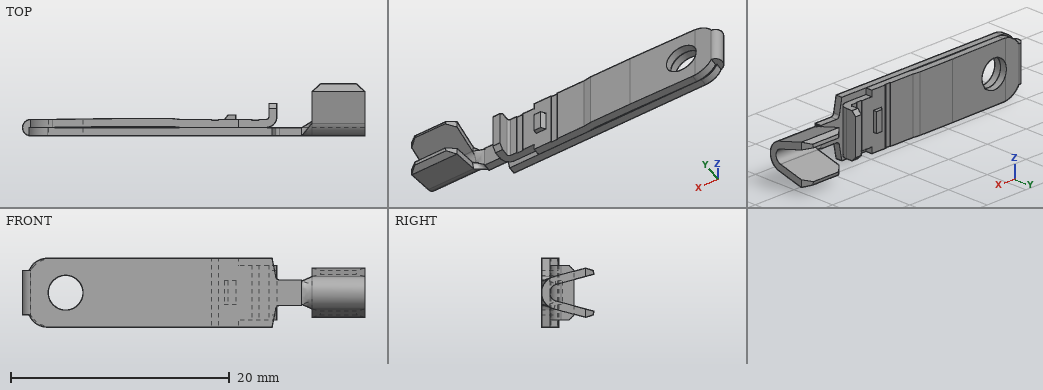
import cadquery as cq
import math


length = 31.35
width = 6.33
depth = 4.8

sheet = 0.75
fold_gap = 0.013
fold_radius = sheet + fold_gap / 2
leaf_inner = sheet + fold_gap
leaf_outer = leaf_inner + sheet
fold_width = 4.07

plate_left = 0.47
plate_corner_radius = 1.82
plate_end = 22.85
shoulder_radius = 0.38
hole_x = 3.95
hole_diameter = 3.15

neck_width = 2.35
neck_start = 23.22
neck_end = 25.55
transition_width = 2.13

leaf_left = 0.38
leaf_corner_radius = 2.38
leaf_narrow_x = 19.75
leaf_narrow_width = 5.0
bow = 0.1
bow_start = 2.5
bow_crest_start = 9.4
bow_crest_end = 13.63
bow_end = 14.42

lip_face = 23.3
lip_height = 2.98
lip_inner_bend = 0.25
lip_outer_bend = lip_inner_bend + sheet
lip_chamfer = 0.47

catch_start = 18.5
catch_ramp = 0.3
catch_end = 19.52
catch_width = 2.2
catch_height = 0.4
groove_width = 0.63
groove_depth = 0.078
groove_starts = (17.3, 21.0)

barrel_start = 26.48
barrel_radius = 1.55
barrel_wall = sheet
inner_radius = barrel_radius - barrel_wall
flare = math.radians(15)
wing_bevel_y = 4.05
wing_tip_outer_y = 4.73
wing_tip_outer_z = 2.05
wing_end_chamfer = 0.8


def extrude_across(outline, full_width):
    """Extrude an X-Y outline symmetrically across Z."""
    return outline.extrude(full_width / 2, both=True)


def extrude_back(outline, start_y, thickness):
    """Extrude an X-Z outline from y = start_y towards +Y."""
    return outline.extrude(-thickness).translate((0, start_y, 0))


def rounded_blank(left, right, corner_radius, start_y, thickness):
    """Full-width blank with rounded left corners, cut back between them for the fold."""
    blank = cq.Workplane("XZ").center((left + right) / 2, 0).rect(right - left, width)
    blank = extrude_back(blank, start_y, thickness).edges("|Y and <X").fillet(corner_radius)
    fold_room = cq.Workplane("XZ").rect(2 * fold_radius, fold_width)
    return blank.cut(extrude_back(fold_room, start_y, thickness))


def make_front_plate():
    """Rounded plate whose far end narrows through filleted shoulders to the neck."""
    half = width / 2
    half_neck = neck_width / 2
    middle = plate_end / 2
    plate = rounded_blank(plate_left, plate_end, plate_corner_radius, 0, sheet)
    shoulder = (
        cq.Workplane("XZ")
        .polyline([
            (middle, half),
            (plate_end, half),
            (neck_start, half_neck),
            (neck_end, half_neck),
            (neck_end, -half_neck),
            (neck_start, -half_neck),
            (plate_end, -half),
            (middle, -half),
        ])
        .close()
    )
    shoulder = extrude_back(shoulder, 0, sheet)
    for sign in (1, -1):
        inner_corner = cq.selectors.NearestToPointSelector((neck_start, sheet / 2, sign * half_neck))
        shoulder = shoulder.edges(inner_corner).fillet(shoulder_radius)
    return plate.union(shoulder)


def make_fold():
    """Half-round bend that joins the front plate to the leaf."""
    fold = cq.Workplane("XY").moveTo(fold_radius, 0)
    fold = fold.threePointArc((0, fold_radius), (fold_radius, 2 * fold_radius))
    fold = fold.lineTo(fold_radius, leaf_inner)
    fold = fold.threePointArc((sheet, fold_radius), (fold_radius, sheet)).close()
    return extrude_across(fold, fold_width)


def make_leaf():
    """Slightly bowed leaf ending in a narrower, upturned lip with chamfered corners."""
    lip_back = lip_face - sheet
    side = (
        cq.Workplane("XY")
        .moveTo(leaf_left, leaf_inner)
        .lineTo(bow_start, leaf_inner)
        .lineTo(bow_crest_start, leaf_inner + bow)
        .lineTo(bow_crest_end, leaf_inner + bow)
        .lineTo(bow_end, leaf_inner)
        .lineTo(lip_face - lip_outer_bend, leaf_inner)
        .radiusArc((lip_face, leaf_inner + lip_outer_bend), -lip_outer_bend)
        .lineTo(lip_face, lip_height)
        .lineTo(lip_back, lip_height)
        .lineTo(lip_back, leaf_outer + lip_inner_bend)
        .radiusArc((lip_back - lip_inner_bend, leaf_outer), lip_inner_bend)
        .lineTo(bow_end, leaf_outer)
        .lineTo(bow_crest_end, leaf_outer + bow)
        .lineTo(bow_crest_start, leaf_outer + bow)
        .lineTo(bow_start, leaf_outer)
        .lineTo(leaf_left, leaf_outer)
        .close()
    )
    profile = extrude_across(side, width)

    wide = rounded_blank(leaf_left, leaf_narrow_x, leaf_corner_radius, 0, depth)
    narrow_left = leaf_narrow_x / 2
    narrow = cq.Workplane("XZ").center((narrow_left + lip_face) / 2, 0)
    narrow = extrude_back(narrow.rect(lip_face - narrow_left, leaf_narrow_width), 0, lip_height)
    narrow = narrow.edges("|X and >Y").chamfer(lip_chamfer)
    leaf = profile.intersect(wide.union(narrow))

    for start in groove_starts:
        groove = cq.Workplane("XY").rect(groove_width, 2 * groove_depth)
        leaf = leaf.cut(extrude_across(groove, width).translate((start + groove_width / 2, leaf_outer, 0)))
    return leaf.union(make_catch())


def make_catch():
    """Ramped block standing on the back of the leaf."""
    side = (
        cq.Workplane("XY")
        .polyline([
            (catch_start, leaf_outer),
            (catch_start + catch_ramp, leaf_outer + catch_height),
            (catch_end, leaf_outer + catch_height),
            (catch_end, leaf_inner),
            (catch_start, leaf_inner),
        ])
        .close()
    )
    return extrude_across(side, catch_width)


def wall_foot(radius):
    """(z, y) where an arc of the barrel meets its flared wall."""
    return radius * math.cos(flare), barrel_radius - radius * math.sin(flare)


def wall_point(radius, y):
    """(z, y) on the flared wall surface that continues an arc of the barrel."""
    foot_z, foot_y = wall_foot(radius)
    return foot_z + (y - foot_y) * math.tan(flare), y


def mirrored(point):
    """The same (z, y) point on the other side of z = 0."""
    return -point[0], point[1]


outer_foot = wall_foot(barrel_radius)
inner_foot = wall_foot(inner_radius)
across = cq.Plane(origin=(0, 0, 0), xDir=(0, 0, 1), normal=(-1, 0, 0))


def make_barrel():
    """Open U-shaped barrel with flared wings and bevelled tips."""
    outer_top = wall_point(barrel_radius, wing_bevel_y)
    outer_tip = (wing_tip_outer_z, wing_tip_outer_y)
    inner_tip = wall_point(inner_radius, depth)
    section = (
        cq.Workplane(across)
        .moveTo(*inner_foot)
        .lineTo(*inner_tip)
        .lineTo(*outer_tip)
        .lineTo(*outer_top)
        .lineTo(*outer_foot)
        .threePointArc((0, 0), mirrored(outer_foot))
        .lineTo(*mirrored(outer_top))
        .lineTo(*mirrored(outer_tip))
        .lineTo(*mirrored(inner_tip))
        .lineTo(*mirrored(inner_foot))
        .threePointArc((0, barrel_wall), inner_foot)
        .close()
    )
    barrel = section.extrude(barrel_start - length).translate((barrel_start, 0, 0))
    side = (
        cq.Workplane("XY")
        .polyline([
            (barrel_start, 0),
            (length, 0),
            (length, wing_bevel_y),
            (length - wing_end_chamfer, depth),
            (barrel_start + wing_end_chamfer, depth),
            (barrel_start, wing_bevel_y),
        ])
        .close()
    )
    return barrel.intersect(extrude_across(side, width))


def make_transition():
    """Blend from the flat neck to the curved floor of the barrel."""
    half_flat = transition_width / 2
    flat = cq.Wire.makePolygon(
        [
            cq.Vector(neck_end, 0, half_flat),
            cq.Vector(neck_end, 0, -half_flat),
            cq.Vector(neck_end, sheet, -half_flat),
            cq.Vector(neck_end, sheet, half_flat),
        ],
        close=True,
    )
    curved = (
        cq.Workplane(across)
        .moveTo(*outer_foot)
        .threePointArc((0, 0), mirrored(outer_foot))
        .lineTo(*mirrored(inner_foot))
        .threePointArc((0, barrel_wall), inner_foot)
        .close()
        .val()
        .translate(cq.Vector(barrel_start, 0, 0))
    )
    return cq.Workplane(cq.Solid.makeLoft([flat, curved], True))


hole = extrude_back(cq.Workplane("XZ").center(hole_x, 0).circle(hole_diameter / 2), 0, depth)
result = (
    make_front_plate()
    .union(make_fold())
    .union(make_leaf())
    .union(make_transition())
    .union(make_barrel())
    .cut(hole)
)